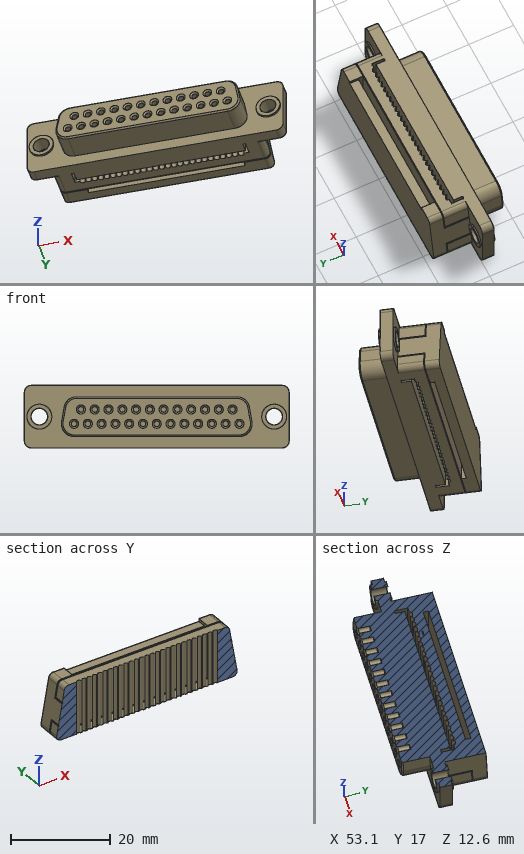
import cadquery as cq
import math


FLANGE_LENGTH = 53.1
HEIGHT = 12.6
FLANGE_THICKNESS = 2.6
FLANGE_CORNER_RADIUS = 1.45

RIVET_X = 23.5
RIVET_DIAMETER = 5.0
RIVET_BORE = 3.3
RIVET_FRONT_STAND_OUT = 0.4
RIVET_BACK_STAND_OUT = 0.3

SIDE_ANGLE = 10.0
SHELL_HALF_WIDTH = 18.9
SHELL_HEIGHT = 7.95
SHELL_CORNER_RADIUS = 2.55
SHELL_LENGTH = 5.85
SHELL_CHAMFER = 0.3
HOUSING_HALF_WIDTH = 20.9
HOUSING_CORNER_RADIUS = 1.15

CONTACT_PITCH = 2.75
CONTACT_ROW_Z = 1.45
BOTTOM_CONTACTS = 13
TOP_CONTACTS = BOTTOM_CONTACTS - 1
CONTACT_BORE = 1.1
CONTACT_MOUTH = 1.8
CONTACT_CONE_DEPTH = 0.3
CONTACT_DEPTH = 2.65

BODY_BACK_Y = 7.95
SEAM = 0.15
CAP_FRONT_Y = BODY_BACK_Y + SEAM
CAP_BACK_Y = 11.15

TAB_TOP_Z = 2.35
TAB_BOTTOM_Z = -2.6
TAB_LOWER_SEAM = 0.1

CABLE_HALF_WIDTH = 16.25
CABLE_BACK_Y = 9.15
STRIP_DROP = 0.65

SLOT_HALF_WIDTH = 18.05
CORE_HALF_WIDTH = 17.5
CORE_BACK_Y = 4.6
SLOT_BACK_Y = 5.3
WIRE_COUNT = 27
WIRE_SPAN = 32.9
WIRE_PITCH = WIRE_SPAN / (WIRE_COUNT - 1)
WIRE_DIAMETER = 1.1


def block(x_range, y_range, z_range):
    """Box between two limits along each axis."""
    (x0, x1), (y0, y1), (z0, z1) = x_range, y_range, z_range
    return cq.Workplane("XY").box(x1 - x0, y1 - y0, z1 - z0, centered=False).translate((x0, y0, z0))


def y_plane(y):
    """XZ sketch plane at the given y; extrusions go toward -Y."""
    return cq.Workplane("XZ", origin=(0, y, 0))


def d_prism(half_width, height, corner_radius, front_y, back_y):
    """D-shaped prism; half_width is measured at mid height, to the straight side."""
    lean = height / 2 * math.tan(math.radians(SIDE_ANGLE))
    corners = [
        (-half_width - lean, -height / 2),
        (half_width + lean, -height / 2),
        (half_width - lean, height / 2),
        (-half_width + lean, height / 2),
    ]
    prism = y_plane(back_y).polyline(corners).close().extrude(back_y - front_y)
    return prism.edges("|Y").fillet(corner_radius)


def make_flange():
    flange = y_plane(FLANGE_THICKNESS).rect(FLANGE_LENGTH, HEIGHT).extrude(FLANGE_THICKNESS)
    return flange.edges("|Y").fillet(FLANGE_CORNER_RADIUS)


def rivet_cylinders(diameter):
    back_y = FLANGE_THICKNESS + RIVET_BACK_STAND_OUT
    centres = [(-RIVET_X, 0), (RIVET_X, 0)]
    return y_plane(back_y).pushPoints(centres).circle(diameter / 2).extrude(back_y + RIVET_FRONT_STAND_OUT)


def make_shell():
    shell = d_prism(SHELL_HALF_WIDTH, SHELL_HEIGHT, SHELL_CORNER_RADIUS, -SHELL_LENGTH, 0)
    return shell.faces("<Y").chamfer(SHELL_CHAMFER)


def make_contact_holes():
    """Two staggered rows of blind holes with conical mouths."""
    bore_radius = CONTACT_BORE / 2
    profile = [
        (0, 0),
        (CONTACT_MOUTH / 2, 0),
        (bore_radius, CONTACT_CONE_DEPTH),
        (bore_radius, CONTACT_DEPTH),
        (0, CONTACT_DEPTH),
    ]
    hole = cq.Workplane("XY").polyline(profile).close().revolve(360, (0, 0), (0, 1))
    holes = cq.Workplane("XY")
    for count, z in ((BOTTOM_CONTACTS, -CONTACT_ROW_Z), (TOP_CONTACTS, CONTACT_ROW_Z)):
        for i in range(count):
            x = (i - (count - 1) / 2) * CONTACT_PITCH
            holes.add(hole.translate((x, -SHELL_LENGTH, z)))
    return holes.combine()


def housing_prism(inset, front_y, back_y):
    """Housing outline shrunk by the inset on every side."""
    return d_prism(
        HOUSING_HALF_WIDTH - inset, HEIGHT - 2 * inset, HOUSING_CORNER_RADIUS - inset, front_y, back_y
    )


def make_seams():
    """Shallow grooves where the cap and its latch tabs meet the body."""
    all_x = (-FLANGE_LENGTH / 2, FLANGE_LENGTH / 2)
    all_z = (-HEIGHT / 2, HEIGHT / 2)
    tab_y = (FLANGE_THICKNESS, CAP_FRONT_Y)
    notch_top_z = TAB_TOP_Z + SEAM
    seams = block(all_x, (BODY_BACK_Y, CAP_FRONT_Y), all_z)
    seams = seams.cut(block(all_x, tab_y, (TAB_BOTTOM_Z, TAB_TOP_Z)))
    seams = seams.union(block(all_x, tab_y, (TAB_TOP_Z, notch_top_z)))
    seams = seams.union(block(all_x, tab_y, (TAB_BOTTOM_Z - TAB_LOWER_SEAM, TAB_BOTTOM_Z)))
    return seams.cut(housing_prism(SEAM, FLANGE_THICKNESS, CAP_FRONT_Y))


def make_cable_opening():
    """Through gap in front of the cap's strip, and the step that lowers the strip."""
    across = (-CABLE_HALF_WIDTH, CABLE_HALF_WIDTH)
    gap = block(across, (CAP_FRONT_Y, CABLE_BACK_Y), (-HEIGHT / 2, HEIGHT / 2))
    step = block(across, (CABLE_BACK_Y, CAP_BACK_Y), (HEIGHT / 2 - STRIP_DROP, HEIGHT / 2))
    return gap.union(step)


def make_wire_slot():
    """Slot around the core through the full height, with one scallop per wire."""
    all_z = (-HEIGHT / 2, HEIGHT / 2)
    slot = block((-SLOT_HALF_WIDTH, SLOT_HALF_WIDTH), (FLANGE_THICKNESS, SLOT_BACK_Y), all_z)
    slot = slot.cut(block((-CORE_HALF_WIDTH, CORE_HALF_WIDTH), (FLANGE_THICKNESS, CORE_BACK_Y), all_z))
    scallops = (
        cq.Workplane("XY", origin=(0, SLOT_BACK_Y, -HEIGHT / 2))
        .rarray(WIRE_PITCH, WIRE_PITCH, WIRE_COUNT, 1)
        .circle(WIRE_DIAMETER / 2)
        .extrude(HEIGHT)
    )
    return slot.union(scallops)


housing = housing_prism(0, FLANGE_THICKNESS, CAP_BACK_Y)
housing = housing.cut(make_seams()).cut(make_cable_opening()).cut(make_wire_slot())

result = make_flange().union(housing).union(make_shell())
result = result.union(rivet_cylinders(RIVET_DIAMETER)).cut(rivet_cylinders(RIVET_BORE))
result = result.cut(make_contact_holes())